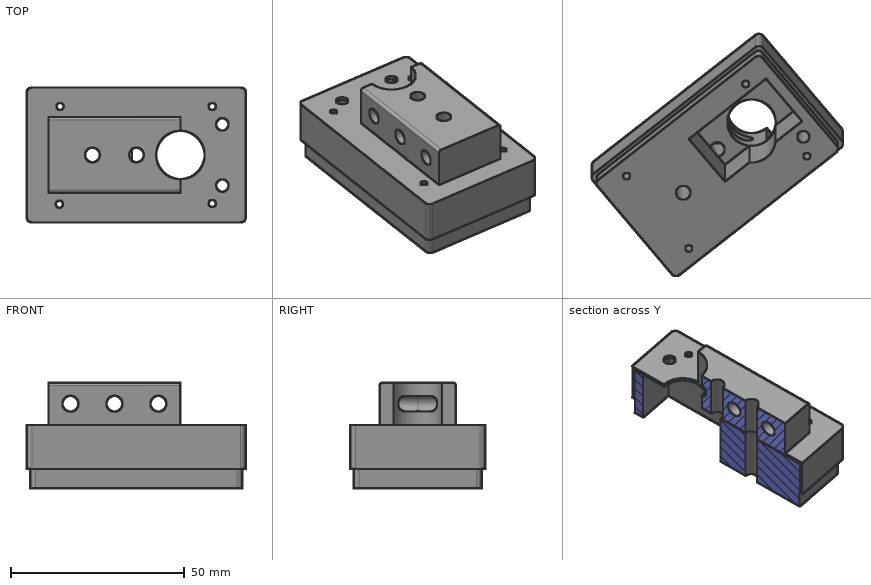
import cadquery as cq

cap_length = 63.3
cap_width = 39.0
cap_height = 12.7
cap_wall = 1.0
corner_radius = 1.5

base_length = cap_length - 2 * cap_wall
base_width = cap_width - 2 * cap_wall
base_exposed_height = 5.65
cap_top_z = base_exposed_height + cap_height
base_height = cap_top_z - cap_wall

hole_pitch = 12.7
block_length = 3 * hole_pitch
block_width = 22.0
block_height = 12.2
block_fillet = 0.9
block_left_margin = 6.3
block_left_x = block_left_margin - cap_length / 2
block_center_x = block_left_x + block_length / 2
block_right_x = block_left_x + block_length
total_height = cap_top_z + block_height

cross_hole_diameter = 4.52
cross_hole_z = cap_top_z + block_height / 2
vertical_hole_diameter = 4.17
outer_vertical_hole = (block_left_x + hole_pitch, 0)
middle_vertical_hole = (block_left_x + 2 * hole_pitch, 0)
button_hole_diameter = 13.9
lamp_hole_diameter = 3.5
lamp_hole_x = 24.85
lamp_hole_y = 8.84
screw_hole_diameter = 2.0
screw_hole_points = [(-22.0, 14.0), (21.95, 14.0), (21.95, -14.0), (-22.2, -14.2)]

wiring_left_x = -1.2
wiring_right_x = 27.5
wiring_front_y = -11.5
wiring_back_y = 5.0


def rounded_box(length, width, height, bottom_z):
    """Upright box with rounded vertical edges, centred on the Z axis."""
    box = cq.Workplane("XY").workplane(offset=bottom_z).rect(length, width).extrude(height)
    return box.edges("|Z").fillet(corner_radius)


def upright_drills(points, diameter):
    """Vertical cylinders that pass through the full height of the part."""
    return cq.Workplane("XY").pushPoints(points).circle(diameter / 2).extrude(total_height)


def drill_shared_holes(body):
    """Cut the vertical holes that run through both the cap and the base."""
    lamp_points = [(lamp_hole_x, lamp_hole_y), (lamp_hole_x, -lamp_hole_y)]
    body = body.cut(upright_drills([(block_right_x, 0)], button_hole_diameter))
    body = body.cut(upright_drills([outer_vertical_hole], vertical_hole_diameter))
    body = body.cut(upright_drills(lamp_points, lamp_hole_diameter))
    return body.cut(upright_drills(screw_hole_points, screw_hole_diameter))


def make_block():
    """Mounting block with rounded top edges and a row of cross holes."""
    block = (
        cq.Workplane("XY")
        .workplane(offset=cap_top_z)
        .center(block_center_x, 0)
        .rect(block_length, block_width)
        .extrude(block_height)
    )
    block = block.edges("|X and >Z").fillet(block_fillet)
    cross_points = [(block_left_x + (i + 0.5) * hole_pitch, cross_hole_z) for i in range(3)]
    cross_drills = (
        cq.Workplane("XZ")
        .pushPoints(cross_points)
        .circle(cross_hole_diameter / 2)
        .extrude(block_width, both=True)
    )
    return block.cut(cross_drills)


def make_cap():
    """Open-bottomed shell with the mounting block on its top face."""
    shell = rounded_box(cap_length, cap_width, cap_height, base_exposed_height)
    cavity = rounded_box(base_length, base_width, base_height, 0)
    shell = drill_shared_holes(shell.cut(cavity).union(make_block()))
    return shell.cut(upright_drills([middle_vertical_hole], vertical_hole_diameter))


def make_base():
    """Inner body with the shared holes and the wiring opening."""
    base = drill_shared_holes(rounded_box(base_length, base_width, base_height, 0))
    wiring_length = wiring_right_x - wiring_left_x
    wiring_width = wiring_back_y - wiring_front_y
    wiring_opening = cq.Workplane("XY").box(wiring_length, wiring_width, base_height, centered=False)
    wiring_opening = wiring_opening.translate((wiring_left_x, wiring_front_y, 0))
    return base.cut(wiring_opening)


cap = make_cap()
base = make_base()

result = cq.Compound.makeCompound([cap.val(), base.val()])